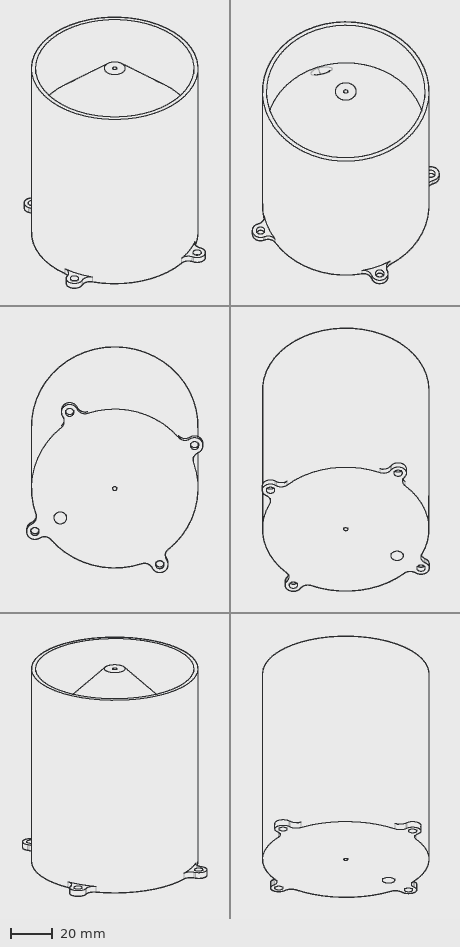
import cadquery as cq
import math

outer_diameter = 80.0
bore_diameter = 76.0
height = 100.0

cone_top_diameter = 10.0
cone_height = (bore_diameter - cone_top_diameter) / 2
cone_base_z = height - cone_height
nozzle_diameter = 2.0

drain_diameter = 6.0
drain_x = 30.0
drain_mouth_rounding = 2.0

ear_count = 4
ear_thickness = 3.0
ear_hole_diameter = 4.0
ear_hole_radius = 44.0
ear_end_radius = 4.0
ear_fillet_radius = 4.0


def make_cup():
    """Outer cylinder with an annular pocket that leaves the cone standing."""
    bore_radius = bore_diameter / 2
    top_radius = cone_top_diameter / 2
    body = cq.Workplane("XY").circle(outer_diameter / 2).extrude(height)
    pocket = (
        cq.Workplane("XZ")
        .moveTo(top_radius, height)
        .lineTo(bore_radius, cone_base_z)
        .lineTo(bore_radius, height)
        .close()
        .revolve(360, (0, 0, 0), (0, 1, 0))
    )
    return body.cut(pocket)


def make_ear():
    """Ear on the +X side: round end, tangent concave flares, inner edge inside the cup."""
    outer_radius = outer_diameter / 2
    flare_center_y = ear_end_radius + ear_fillet_radius
    flare_center_x = math.sqrt((outer_radius + ear_fillet_radius) ** 2 - flare_center_y**2)
    angle = math.atan2(flare_center_y, flare_center_x)
    foot_x = outer_radius * math.cos(angle)
    foot_y = outer_radius * math.sin(angle)
    contact_direction = angle + math.pi
    side_direction = 1.5 * math.pi
    middle_angle = (contact_direction + side_direction) / 2
    middle_x = flare_center_x + ear_fillet_radius * math.cos(middle_angle)
    middle_y = flare_center_y + ear_fillet_radius * math.sin(middle_angle)
    return (
        cq.Workplane("XY")
        .moveTo(foot_x, -foot_y)
        .threePointArc((middle_x, -middle_y), (flare_center_x, -ear_end_radius))
        .lineTo(ear_hole_radius, -ear_end_radius)
        .threePointArc((ear_hole_radius + ear_end_radius, 0), (ear_hole_radius, ear_end_radius))
        .lineTo(flare_center_x, ear_end_radius)
        .threePointArc((middle_x, middle_y), (foot_x, foot_y))
        .close()
        .extrude(ear_thickness)
    )


def vertical_hole(x, diameter):
    """Cutter along Z, centred at x on the X axis, as tall as the cup."""
    return cq.Workplane("XY").center(x, 0).circle(diameter / 2).extrude(height)


def cut_drain(body):
    """Drill the drain down to the base and round its mouth on the cone flank."""
    drilled = body.cut(vertical_hole(drain_x, drain_diameter))
    reach = drain_diameter / 2 + drain_mouth_rounding
    mouth_box = cq.selectors.BoxSelector(
        (drain_x - reach, -reach, cone_base_z),
        (drain_x + reach, reach, height),
        boundingbox=True,
    )
    return drilled.edges(mouth_box).fillet(drain_mouth_rounding)


def add_ears(body):
    """Join the ears at equal angles round the foot and drill their screw holes."""
    ear = make_ear().cut(vertical_hole(ear_hole_radius, ear_hole_diameter))
    for index in range(ear_count):
        turn = 360 / ear_count * index
        body = body.union(ear.rotate((0, 0, 0), (0, 0, 1), turn))
    return body


cup = make_cup().cut(vertical_hole(0, nozzle_diameter))
result = add_ears(cut_drain(cup))